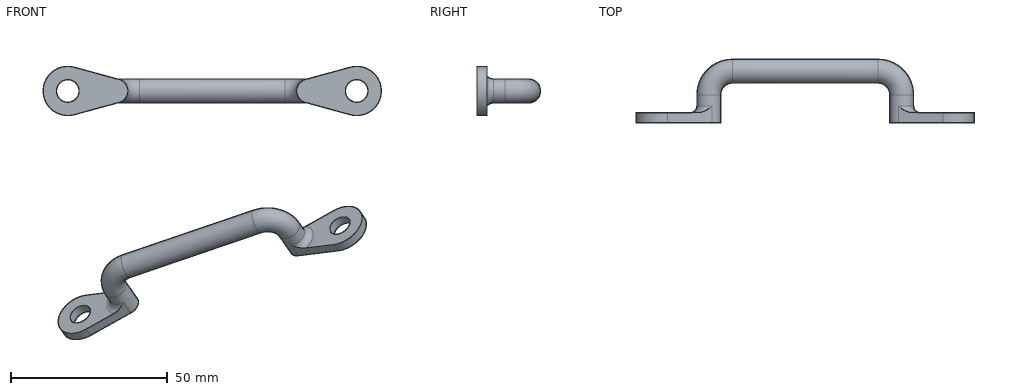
import cadquery as cq
import math

length = 107.8
height = 20.3

rod_diameter = 7.7
rod_radius = rod_diameter / 2
bend_radius = 7.5

lug_radius = 7.9
lug_thickness = 3.2
hole_diameter = 7.1
fillet_radius = 2.0
leg_x = 30.7

hole_x = length / 2 - lug_radius
axis_y = height - rod_radius


def make_bar():
    """U-shaped round bar with both feet on the plane Y = 0."""
    bend_start_y = axis_y - bend_radius
    bend_end_x = leg_x - bend_radius
    path = (
        cq.Workplane("XY")
        .moveTo(-leg_x, 0)
        .lineTo(-leg_x, bend_start_y)
        .tangentArcPoint((-bend_end_x, axis_y), relative=False)
        .lineTo(bend_end_x, axis_y)
        .tangentArcPoint((leg_x, bend_start_y), relative=False)
        .lineTo(leg_x, 0)
    )
    foot = cq.Workplane("XZ").center(-leg_x, 0).circle(rod_radius)
    return foot.sweep(path)


def teardrop(depth):
    """Left lug outline: two arcs joined by tangent lines, extruded from Y = 0."""
    taper = math.asin((lug_radius - rod_radius) / (hole_x - leg_x))
    big_x = -hole_x + lug_radius * math.sin(taper)
    big_z = lug_radius * math.cos(taper)
    small_x = -leg_x + rod_radius * math.sin(taper)
    small_z = rod_radius * math.cos(taper)
    return (
        cq.Workplane("XZ")
        .moveTo(big_x, big_z)
        .threePointArc((-length / 2, 0), (big_x, -big_z))
        .lineTo(small_x, -small_z)
        .threePointArc((-leg_x + rod_radius, 0), (small_x, small_z))
        .close()
        .extrude(-depth)
    )


def make_root_fillet():
    """Concave collar between leg and lug, trimmed flush with the lug sides."""
    top_y = lug_thickness + fillet_radius
    foot_radius = rod_radius + fillet_radius
    arc_inset = fillet_radius * (1 - math.sqrt(0.5))
    collar = (
        cq.Workplane("XY")
        .lineTo(foot_radius, 0)
        .lineTo(foot_radius, lug_thickness)
        .threePointArc((rod_radius + arc_inset, lug_thickness + arc_inset), (rod_radius, top_y))
        .lineTo(0, top_y)
        .close()
        .revolve(360, (0, 0), (0, 1))
        .translate((-leg_x, 0, 0))
    )
    return collar.intersect(teardrop(top_y))


def make_left_lug():
    hole = cq.Workplane("XZ").center(-hole_x, 0).circle(hole_diameter / 2).extrude(-lug_thickness)
    return teardrop(lug_thickness).cut(hole).union(make_root_fillet())


left_lug = make_left_lug()
right_lug = left_lug.mirror("YZ")
result = make_bar().union(left_lug).union(right_lug)